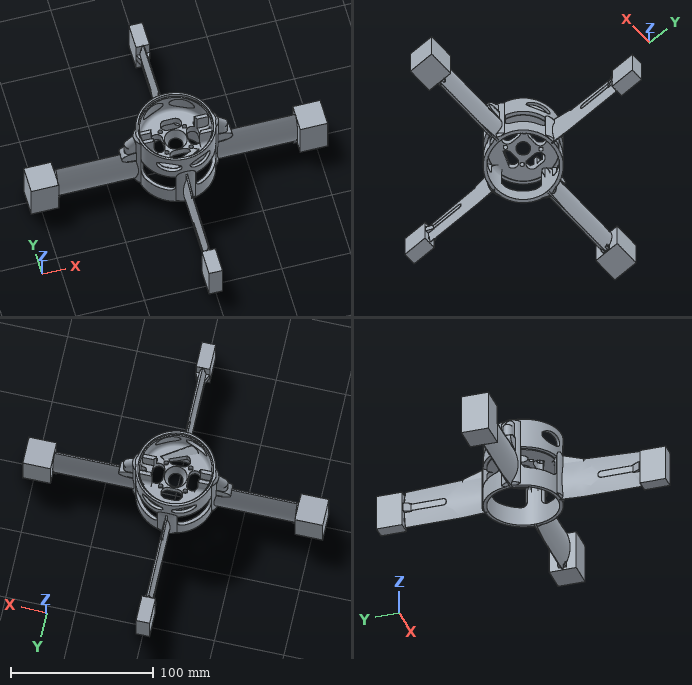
import cadquery as cq

span_x = 215.8
span_y = 213.9
top_z = 55.5

hub_radius = 28.16
bore_radius = 51.1 / 2
rim_bore_radius = 53.0 / 2
rim_step_z = 52.9
hub_bottom_z = 1.0
floor_bottom_z = 31.7
floor_top_z = 38.2
floor_fillet = 2.8
underside_fillet = 3.5

center_hole_diameter = 10.0
countersink_diameter = 16.0
slot_length = 15.0
slot_width = 8.5
slot_center = 13.0
screw_hole_diameter = 3.0
screw_hole_offset = 8.8
wire_hole_width = 4.7
wire_hole_start = 21.0
wire_hole_length = 6.5

window_width = 28.0
window_bottom_z = 15.5
window_top_z = 32.5
window_corner = 4.7
oval_width = 18.1
oval_height = 10.0
oval_z = 45.0
oval_angle = 25.0
oval_cut_start = 19.6
oval_membrane = 0.5

x_pad_radius = 8.5
x_pad_reach = 30.9
x_pad_chamfer = 2.0
y_pad_radius = 11.2
y_pad_reach = 29.8
y_pad_cylinder_top = 33.2
pad_foot_chamfer = 1.7

arm_end = 87.2
arm_root = 26.8
arm_knee = 45.3
web_overlap = 2.2
x_block_length = 20.0
x_block_width = 20.0
x_block_height = 29.8
x_arm_thickness = 11.5
x_arm_top = 35.0
x_web_width = 5.6
x_web_bottom = 2.0
x_web_top = 8.5
y_block_length = 19.0
y_block_width = 10.0
y_block_height = 27.0
y_arm_thickness = 5.0
y_arm_top_end = 29.3
y_arm_top_root = 32.2
y_tab_width = 2.2
y_tab_height = 1.7
y_tab_levels = (6.3, 21.8)

rod_z = 14.5
rod_height = 5.2
rod_thickness = 5.2
rod_inner_end = 56.1
rod_rounding = 2.4
collar_height = 6.5
collar_width = 10.1
collar_length = 5.2

gusset_thickness = 1.3
gusset_foot = 44.9
gusset_top_z = 37.5
gusset_foot_z = 31.0
gusset_bottom_z = 28.0

duct_width = 7.3
duct_reach = 37.5
duct_bottom_z = 37.5
duct_bend_z = 46.5
duct_top_z = 53.5
foot_center_x = 30.6
foot_center_z = 33.7
foot_half_length = 9.7
foot_half_height = 5.2
foot_width = 8.2

clip_inner_end = 15.3
clip_thickness = 2.5
clip_top_z = 50.3
clip_fillet = 3.2
clip_gap_right = 9.7
clip_gap_left = 4.7

strip_width = 6.5
strip_rise = 2.0
strip_start = (-16.5, -22.0)
strip_end = (10.8, -10.8)
strip_far_end = (13.5, -12.5)
strip_far_start = (-7.0, -25.5)


def cylinder(radius, bottom, top):
    return cq.Workplane("XY").workplane(offset=bottom).circle(radius).extrude(top - bottom)


def block(x_range, y_range, z_range):
    size = [high - low for low, high in (x_range, y_range, z_range)]
    corner = (x_range[0], y_range[0], z_range[0])
    return cq.Workplane("XY").box(*size, centered=False).translate(corner)


def turned(body, angle):
    """The body turned about Z by an angle in degrees."""
    return body.rotate((0, 0, 0), (0, 0, 1), angle)


def both_ends(body):
    """The body together with its copy turned half a turn about Z."""
    return body.union(turned(body, 180))


def lens_section(position, top, thickness):
    """Lens outline from Z = 0 to the top, pointed at both, in a plane across the X axis."""
    middle = top / 2
    return (
        cq.Workplane("YZ", origin=(position, 0, 0))
        .moveTo(0, 0)
        .threePointArc((thickness / 2, middle), (0, top))
        .threePointArc((-thickness / 2, middle), (0, 0))
        .wire()
        .val()
    )


def lens_arm(thickness, root_top, end_top):
    """Arm along +X whose lower edge rises to the hub bottom at its root."""
    sections = [
        lens_section(arm_root, root_top, thickness),
        lens_section(arm_end, end_top, thickness),
    ]
    relief = (
        cq.Workplane("XZ")
        .polyline([(arm_root, 0), (arm_knee, 0), (arm_root, hub_bottom_z)])
        .close()
        .extrude(thickness, both=True)
    )
    return cq.Workplane("XY").add(cq.Solid.makeLoft(sections, True)).cut(relief)


def make_x_arm():
    block_start = span_x / 2 - x_block_length
    arm = lens_arm(x_arm_thickness, x_arm_top, x_arm_top)
    end_block = block(
        (block_start, span_x / 2), (-x_block_width / 2, x_block_width / 2), (0, x_block_height)
    )
    web = block(
        (arm_end - web_overlap, block_start),
        (-x_web_width / 2, x_web_width / 2),
        (x_web_bottom, x_web_top),
    )
    return arm.union(end_block).union(web)


def make_y_arm():
    """Arm built along +X; it is turned onto the Y axis when placed."""
    block_start = span_y / 2 - y_block_length
    arm = lens_arm(y_arm_thickness, y_arm_top_root, y_arm_top_end)
    arm = arm.union(block(
        (block_start, span_y / 2), (-y_block_width / 2, y_block_width / 2), (0, y_block_height)
    ))
    for level in y_tab_levels:
        arm = arm.union(block(
            (arm_end - web_overlap, block_start),
            (-y_tab_width / 2, y_tab_width / 2),
            (level - y_tab_height / 2, level + y_tab_height / 2),
        ))
    rod = block(
        (rod_inner_end, arm_end),
        (-rod_thickness / 2, rod_thickness / 2),
        (rod_z - rod_height / 2, rod_z + rod_height / 2),
    ).edges("<X and |Y").fillet(rod_rounding)
    collar = (
        cq.Workplane("XY", origin=(0, 0, rod_z - collar_height / 2))
        .moveTo(arm_end - collar_length, -rod_thickness / 2)
        .lineTo(arm_end, -collar_width / 2)
        .lineTo(arm_end, collar_width / 2)
        .lineTo(arm_end - collar_length, rod_thickness / 2)
        .close()
        .extrude(collar_height)
    )
    gusset = (
        cq.Workplane("XZ")
        .moveTo(arm_root, gusset_bottom_z)
        .lineTo(arm_root, gusset_top_z)
        .lineTo(gusset_foot, gusset_foot_z)
        .lineTo(gusset_foot, gusset_bottom_z)
        .close()
        .extrude(gusset_thickness / 2, both=True)
    )
    return arm.union(rod).union(collar).union(gusset)


def make_x_pad():
    """Round pad running the full height of the hub."""
    pad = cylinder(x_pad_radius, hub_bottom_z, top_z)
    pad = pad.faces(">Z").chamfer(x_pad_chamfer).faces("<Z").chamfer(pad_foot_chamfer)
    return pad.translate((x_pad_reach - x_pad_radius, 0, 0))


def make_y_pad():
    """Round pad with a domed top, built on +X like the Y arm."""
    pad = cylinder(y_pad_radius, hub_bottom_z, y_pad_cylinder_top)
    pad = pad.faces("<Z").chamfer(pad_foot_chamfer)
    dome = cq.Workplane("XY").sphere(y_pad_radius).translate((0, 0, y_pad_cylinder_top))
    return pad.union(dome).translate((y_pad_reach - y_pad_radius, 0, 0))


def make_duct():
    """Rounded duct beside the X pad, bent inward at the top, with an oval foot."""
    nose_x = duct_reach - duct_width / 2
    path = (
        cq.Workplane("XZ")
        .moveTo(duct_reach, duct_bottom_z)
        .lineTo(duct_reach, duct_bend_z)
        .lineTo(duct_reach - (duct_top_z - duct_bend_z), duct_top_z)
    )
    duct = (
        cq.Workplane("XY", origin=(0, 0, duct_bottom_z))
        .moveTo(arm_root, -duct_width / 2)
        .lineTo(nose_x, -duct_width / 2)
        .threePointArc((duct_reach, 0), (nose_x, duct_width / 2))
        .lineTo(arm_root, duct_width / 2)
        .close()
        .sweep(path, transition="right")
    )
    foot = (
        cq.Workplane("XZ", origin=(foot_center_x, 0, foot_center_z))
        .ellipse(foot_half_length, foot_half_height)
        .extrude(foot_width / 2, both=True)
    )
    return duct.union(foot)


def make_bore():
    """Space inside the hub: rim step, upper cup with rounded bottom, lower tube."""
    cup = cylinder(bore_radius, floor_top_z, top_z).faces("<Z").edges().fillet(floor_fillet)
    rim = cylinder(rim_bore_radius, rim_step_z, top_z)
    lower = cylinder(bore_radius, hub_bottom_z, floor_bottom_z)
    lower = lower.faces(">Z").edges().fillet(underside_fillet)
    return cup.union(rim).union(lower)


def make_clip(gap):
    """Pair of plates on the +X side with fillets along their outer feet."""
    outer = gap / 2 + clip_thickness
    plate = (
        cq.Workplane("YZ", origin=(clip_inner_end, 0, 0))
        .moveTo(gap / 2, floor_bottom_z)
        .lineTo(gap / 2, clip_top_z)
        .lineTo(outer, clip_top_z)
        .lineTo(outer, floor_top_z + clip_fillet)
        .radiusArc((outer + clip_fillet, floor_top_z), -clip_fillet)
        .lineTo(outer + clip_fillet, floor_bottom_z)
        .close()
        .extrude(hub_radius - clip_inner_end)
    )
    pair = plate.union(plate.mirror("XZ"))
    return pair.intersect(cylinder(rim_bore_radius, hub_bottom_z, top_z))


def make_strip():
    """Slanted strip across the floor, its top rising toward the hub wall."""
    footprint = (
        cq.Workplane("XY", origin=(0, 0, floor_bottom_z))
        .polyline([strip_start, strip_end, strip_far_end, strip_far_start])
        .close()
        .extrude(top_z - floor_bottom_z)
    )
    run_x = strip_end[0] - strip_start[0]
    run_y = strip_end[1] - strip_start[1]
    across = cq.Plane(
        origin=(*strip_start, 0), xDir=(run_y, -run_x, 0), normal=(run_x, run_y, 0)
    )
    wedge = (
        cq.Workplane(across)
        .moveTo(0, -floor_bottom_z)
        .lineTo(0, -floor_top_z)
        .lineTo(strip_width, -floor_top_z - strip_rise)
        .lineTo(strip_width, -floor_bottom_z)
        .close()
        .extrude(2 * hub_radius)
    )
    strip = footprint.intersect(wedge)
    return strip.intersect(cylinder(rim_bore_radius, hub_bottom_z, top_z))


def make_window():
    """Window on the +X side, open from the bore outward."""
    window = block(
        (0, 2 * hub_radius),
        (-window_width / 2, window_width / 2),
        (window_bottom_z, window_top_z),
    )
    window = window.edges("|X and <Z").fillet(window_corner)
    return window.cut(cylinder(bore_radius, floor_bottom_z, top_z))


def make_oval(angle):
    """Oval cutter through the upper wall at the given direction."""
    cutter = (
        cq.Workplane("YZ", origin=(oval_cut_start, 0, oval_z))
        .ellipse(oval_width / 2, oval_height / 2)
        .extrude(hub_radius)
    )
    return turned(cutter, angle)


def make_floor_openings():
    """Center hole with countersink, four slots, four screw holes, two wire holes."""
    cut_depth = top_z - hub_bottom_z
    base = cq.Workplane("XY", origin=(0, 0, hub_bottom_z))
    openings = base.circle(center_hole_diameter / 2).extrude(cut_depth)
    countersink = cq.Workplane("XY").add(cq.Solid.makeCone(
        center_hole_diameter / 2,
        countersink_diameter / 2,
        floor_top_z - floor_bottom_z,
        cq.Vector(0, 0, floor_bottom_z),
    ))
    openings = openings.union(countersink)
    for angle in (0, 90, 180, 270):
        slot = base.center(slot_center, 0).slot2D(slot_length, slot_width, 90).extrude(cut_depth)
        screw_hole = (
            base.center(screw_hole_offset, screw_hole_offset)
            .circle(screw_hole_diameter / 2)
            .extrude(cut_depth)
        )
        openings = openings.union(turned(slot.union(screw_hole), angle))
    wire_hole = (
        base.center(wire_hole_start, 0)
        .slot2D(2 * wire_hole_length, wire_hole_width)
        .extrude(cut_depth)
        .translate((wire_hole_length, 0, 0))
        .intersect(cylinder(bore_radius, hub_bottom_z, top_z))
    )
    return openings.union(both_ends(wire_hole))


hub = cylinder(hub_radius, hub_bottom_z, top_z)
hub = hub.union(both_ends(make_x_pad().union(make_x_arm()).union(make_duct())))
hub = hub.union(turned(both_ends(make_y_pad().union(make_y_arm())), 90))
hub = hub.cut(make_bore())

hub = hub.union(make_clip(clip_gap_right))
hub = hub.union(turned(make_clip(clip_gap_left), 180))
hub = hub.cut(make_floor_openings())
hub = hub.union(make_strip())

for window_angle in (45, 135, 225, 315):
    hub = hub.cut(turned(make_window(), window_angle))

membrane = cylinder(bore_radius + oval_membrane, hub_bottom_z, top_z)
hub = hub.cut(make_oval(270 - oval_angle))
for recess_angle in (270 + oval_angle, 90 - oval_angle, 90 + oval_angle):
    hub = hub.cut(make_oval(recess_angle).cut(membrane))

result = hub